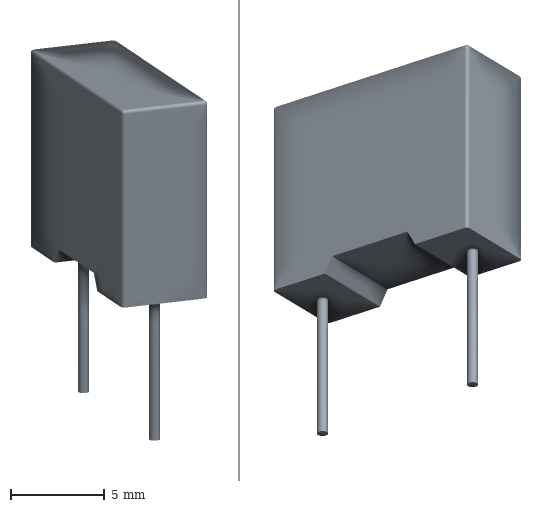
import cadquery as cq

total_height = 19.0
body_length = 13.0
body_depth = 5.0
body_height = 11.0
edge_radius = 0.19

notch_mouth_width = 6.0
notch_roof_width = 5.0
notch_height = 0.9

lead_diameter = 0.6
lead_pitch = 10.0
lead_length = total_height - body_height
lead_embed = edge_radius


def make_body():
    """Box standing on Z = 0, rounded on all edges except the bottom ones."""
    box = cq.Workplane("XY").box(body_length, body_depth, body_height, centered=(True, True, False))
    return box.edges("|Z or >Z").fillet(edge_radius)


def make_notch():
    """Trapezoidal channel through the full depth, narrowing upwards."""
    profile = [
        (-notch_mouth_width / 2, 0),
        (-notch_roof_width / 2, notch_height),
        (notch_roof_width / 2, notch_height),
        (notch_mouth_width / 2, 0),
    ]
    return cq.Workplane("XZ").polyline(profile).close().extrude(body_depth / 2, both=True)


def make_leads():
    """Two round wires hanging below the body."""
    return (
        cq.Workplane("XY", origin=(0, 0, -lead_length))
        .pushPoints([(-lead_pitch / 2, 0), (lead_pitch / 2, 0)])
        .circle(lead_diameter / 2)
        .extrude(lead_length + lead_embed)
    )


result = make_body().cut(make_notch()).union(make_leads())